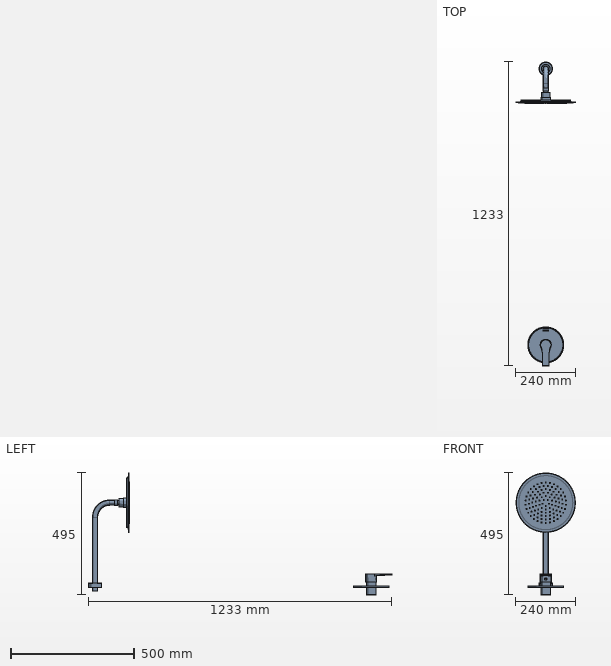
import cadquery as cq
import math

total_length = 1233.0
total_height = 495.0

flange_diameter = 54.0
flange_height = 18.0
flange_recess_diameter = 35.0
flange_recess_depth = 7.0

pipe_diameter = 21.0
bend_radius = 59.0
tail_depth = 15.0
arm_reach = 79.0

collar_diameter = 23.0
collar_length = 12.0
neck_diameter = 18.0
neck_length = 5.0

nut_diameter = 36.0
nut_length = 20.0
nut_flange_diameter = 40.0
nut_flange_length = 11.0

head_diameter = 240.0
head_thickness = 11.0
rim_thickness = 3.1
rim_inner_radius = 110.0
rim_drop = 0.7
slope_inner_radius = 102.0
slope_depth = 1.0
back_radius = 100.0

nozzle_ring_count = 6
nozzles_per_ring_step = 5
outer_ring_diameter = 164.0
nozzle_diameter = 4.0
nozzle_height = 2.0
nozzle_hole_diameter = 1.0
nozzle_hole_depth = 4.0

valve_diameter = 40.0
valve_depth = 30.0
plate_diameter = 145.0
plate_thickness = 7.0
plate_bevel_width = 3.1
plate_bevel_height = 1.0
groove_length = 22.0
groove_width = 1.0
groove_depth = 1.0
groove_offsets = (58.0, 65.0)

handle_overhang = 2.7
handle_bottom = 23.0
handle_top = 55.0
lever_reach = 85.0
lever_width = 27.0
lever_root_width = 35.0
lever_root_reach = 15.0
lever_taper_reach = 35.0
lever_tip_thickness = 4.0
lever_root_thickness = 9.0
screw_hole_diameter = 9.5
screw_hole_height = 35.0
screw_hole_depth = 2.0
screw_pilot_diameter = 6.8
screw_pilot_depth = 5.0

handle_diameter = valve_diameter + 2 * handle_overhang
mixer_y = flange_diameter / 2 - total_length + lever_reach
head_z = total_height - valve_depth - head_diameter / 2
stem_y = -arm_reach
nut_y = stem_y - collar_length - neck_length
head_back_y = nut_y - nut_length - nut_flange_length
head_face_y = head_back_y - head_thickness


def upright_cylinder(diameter, bottom, top, y=0.0):
    """Cylinder along Z between two heights."""
    return cq.Workplane("XY", origin=(0, y, bottom)).circle(diameter / 2).extrude(top - bottom)


def forward_cylinder(diameter, start_y, length):
    """Cylinder on the head's axis, running toward -Y from start_y."""
    return cq.Workplane("XZ", origin=(0, start_y, head_z)).circle(diameter / 2).extrude(length)


def make_flange():
    """Ring with a recessed top and a bore that fits the pipe."""
    flange = upright_cylinder(flange_diameter, 0, flange_height)
    recess = upright_cylinder(flange_recess_diameter, flange_height - flange_recess_depth, flange_height)
    bore = upright_cylinder(pipe_diameter, 0, flange_height)
    return flange.cut(recess).cut(bore)


def make_arm():
    """Pipe that rises from the wall, bends a quarter turn and ends level with the head."""
    bend_middle = bend_radius * math.sqrt(0.5)
    bend_start_z = head_z - bend_radius
    path = (
        cq.Workplane("YZ")
        .moveTo(0, -tail_depth)
        .lineTo(0, bend_start_z)
        .threePointArc((bend_middle - bend_radius, bend_start_z + bend_middle), (-bend_radius, head_z))
        .lineTo(-arm_reach, head_z)
    )
    return cq.Workplane("XY", origin=(0, 0, -tail_depth)).circle(pipe_diameter / 2).sweep(path)


def make_stem():
    """Collar and narrower neck that join the arm to the nut."""
    collar = forward_cylinder(collar_diameter, stem_y, collar_length)
    neck = forward_cylinder(neck_diameter, stem_y - collar_length, neck_length)
    return collar.union(neck)


def make_nut():
    """Round nut with a wider shoulder against the back of the head."""
    barrel = forward_cylinder(nut_diameter, nut_y, nut_length)
    shoulder = forward_cylinder(nut_flange_diameter, nut_y - nut_length, nut_flange_length)
    return barrel.union(shoulder)


def nozzle_positions():
    """Concentric rings, each with five more nozzles than the ring inside it, starting at the bottom."""
    places = []
    for ring in range(1, nozzle_ring_count + 1):
        radius = outer_ring_diameter / 2 * ring / nozzle_ring_count
        count = nozzles_per_ring_step * ring
        for index in range(count):
            angle = 2 * math.pi * index / count - math.pi / 2
            places.append((radius * math.cos(angle), radius * math.sin(angle)))
    return places


def make_head():
    """Thin disc with a sloped rim, a raised back and drilled nozzles on its face."""
    rim_radius = head_diameter / 2
    rim_back = head_face_y + rim_thickness
    shell = (
        cq.Workplane("XY", origin=(0, 0, head_z))
        .moveTo(0, head_face_y)
        .lineTo(rim_inner_radius, head_face_y)
        .lineTo(rim_radius, head_face_y + rim_drop)
        .lineTo(rim_radius, rim_back)
        .lineTo(rim_inner_radius, rim_back)
        .lineTo(slope_inner_radius, rim_back + slope_depth)
        .lineTo(back_radius, head_back_y)
        .lineTo(0, head_back_y)
        .close()
        .revolve(360, (0, 0, 0), (0, 1, 0))
    )
    face = cq.Workplane("XZ", origin=(0, head_face_y, head_z)).pushPoints(nozzle_positions())
    nozzles = face.circle(nozzle_diameter / 2).extrude(nozzle_height)
    tips = cq.Workplane("XZ", origin=(0, head_face_y - nozzle_height, head_z)).pushPoints(nozzle_positions())
    holes = tips.circle(nozzle_hole_diameter / 2).extrude(-nozzle_hole_depth)
    return shell.union(nozzles).cut(holes)


def make_plate():
    """Round cover plate with a shallow bevel, two short grooves at the rear and a hole for the valve."""
    radius = plate_diameter / 2
    plate = (
        cq.Workplane("XZ")
        .lineTo(radius, 0)
        .lineTo(radius, plate_thickness - plate_bevel_height)
        .lineTo(radius - plate_bevel_width, plate_thickness)
        .lineTo(0, plate_thickness)
        .close()
        .revolve(360, (0, 0, 0), (0, 1, 0))
        .translate((0, mixer_y, 0))
    )
    for offset in groove_offsets:
        groove_floor = cq.Workplane("XY", origin=(0, mixer_y + offset, plate_thickness - groove_depth))
        plate = plate.cut(groove_floor.rect(groove_length, groove_width).extrude(groove_depth))
    return plate.cut(upright_cylinder(valve_diameter, 0, plate_thickness, mixer_y))


def make_valve():
    """Cylinder that passes through the plate up to the handle."""
    return upright_cylinder(valve_diameter, -valve_depth, handle_bottom, mixer_y)


def make_lever():
    """Tapered blade that thins toward its tip and is flush with the handle top."""
    outline = (
        cq.Workplane("XY", origin=(0, mixer_y, handle_bottom))
        .moveTo(-lever_root_width / 2, 0)
        .lineTo(-lever_root_width / 2, -lever_root_reach)
        .lineTo(-lever_width / 2, -lever_taper_reach)
        .lineTo(-lever_width / 2, -lever_reach)
        .lineTo(lever_width / 2, -lever_reach)
        .lineTo(lever_width / 2, -lever_taper_reach)
        .lineTo(lever_root_width / 2, -lever_root_reach)
        .lineTo(lever_root_width / 2, 0)
        .close()
        .extrude(handle_top - handle_bottom)
    )
    side = (
        cq.Workplane("YZ", origin=(-lever_root_width / 2, mixer_y, 0))
        .moveTo(0, handle_top)
        .lineTo(-lever_reach, handle_top)
        .lineTo(-lever_reach, handle_top - lever_tip_thickness)
        .lineTo(0, handle_top - lever_root_thickness)
        .close()
        .extrude(lever_root_width)
    )
    return outline.intersect(side)


def screw_bore(diameter, depth):
    """Bore along Y into the front of the handle, below the lever."""
    front_y = mixer_y - handle_diameter / 2
    return cq.Workplane("XZ", origin=(0, front_y, screw_hole_height)).circle(diameter / 2).extrude(-depth)


def make_handle():
    """Round knob with its lever and a stepped screw hole."""
    knob = upright_cylinder(handle_diameter, handle_bottom, handle_top, mixer_y)
    screw_hole = screw_bore(screw_hole_diameter, screw_hole_depth)
    pilot = screw_bore(screw_pilot_diameter, screw_pilot_depth)
    return knob.union(make_lever()).cut(screw_hole).cut(pilot)


flange = make_flange()
arm = make_arm()
stem = make_stem()
nut = make_nut()
head = make_head()
plate = make_plate()
valve = make_valve()
handle = make_handle()

bodies = [flange, arm, stem, nut, head, plate, valve, handle]
result = cq.Compound.makeCompound([body.val() for body in bodies])